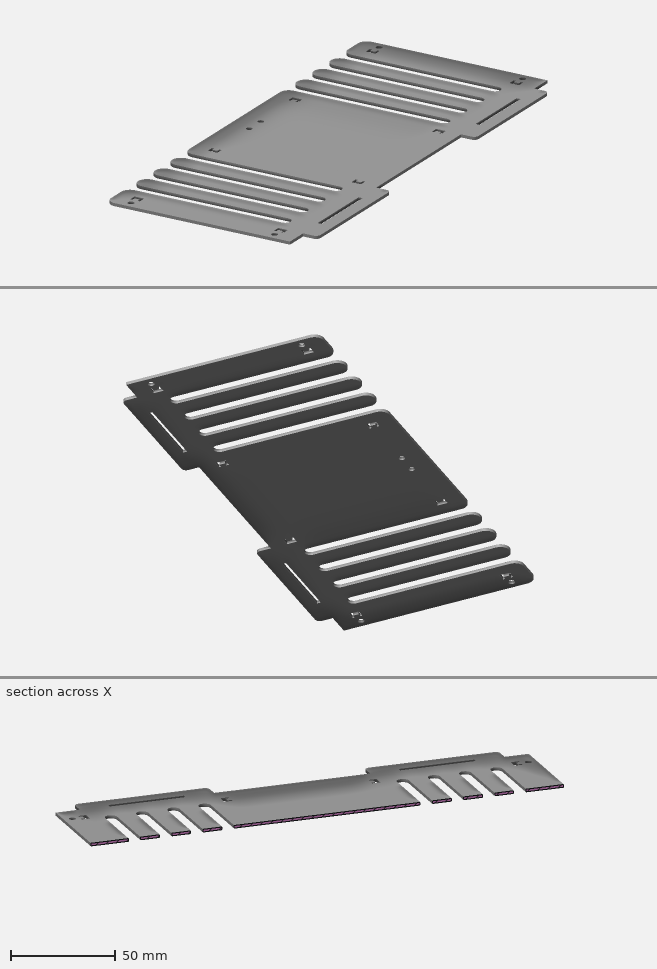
import cadquery as cq

length = 242.7
width = 111.0
thickness = 1.6
left_edge = -width / 2
right_edge = width / 2

sheet_width = 102.7
sheet_right = left_edge + sheet_width
tab_inner_y = 40.0
tab_outer_y = 109.0
tab_corner_radius = 2.5

panel_half_length = 47.8
slot_count = 4
slot_width = 6.0
finger_width = 10.0
slot_pitch = slot_width + finger_width
slot_depth = 89.8
left_corner_radius = 4.9

strap_slot_width = 2.2
strap_slot_length = 38.8
strap_slot_x = left_edge + 103.0
strap_slot_y = (tab_inner_y + tab_outer_y) / 2

column_spacing = 80.0
left_column = left_edge + 11.5
columns = (left_column, left_column + column_spacing)

corner_hole_diameter = 3.5
corner_hole_y = 117.0
panel_hole_diameter = 3.2
panel_hole_spacing = 11.0

clip_width = 5.3
clip_length = 4.1
tongue_width = 3.0
tongue_length = 2.0


def slab(x_min, x_max, y_min, y_max):
    """Plate-thick block between the given limits."""
    size = (x_max - x_min, y_max - y_min, thickness)
    return cq.Workplane("XY").box(*size, centered=False).translate((x_min, y_min, 0))


def drill(points, diameter):
    """Plate-thick pins used to cut round holes."""
    return cq.Workplane("XY").pushPoints(points).circle(diameter / 2).extrude(thickness)


def sheet_strip(y_min, y_max):
    """Strip across the sheet with both left corners rounded."""
    strip = slab(left_edge, sheet_right, y_min, y_max)
    return strip.edges("|Z and <X").fillet(left_corner_radius)


def slot_end_web(y_min):
    """Solid piece that closes a finger slot with a half-round inner end."""
    end_centre_x = left_edge + slot_depth - slot_width / 2
    web = slab(end_centre_x, sheet_right, y_min, y_min + slot_width)
    return web.cut(drill([(end_centre_x, y_min + slot_width / 2)], slot_width))


def comb():
    """Fingers, slot ends and outer strip on the +Y side of the panel."""
    first_finger_y = panel_half_length + slot_width
    last_finger_y = first_finger_y + (slot_count - 1) * slot_pitch
    body = sheet_strip(last_finger_y, length / 2)
    for index in range(slot_count):
        slot_y = panel_half_length + index * slot_pitch
        body = body.union(slot_end_web(slot_y))
    for index in range(slot_count - 1):
        finger_y = first_finger_y + index * slot_pitch
        body = body.union(sheet_strip(finger_y, finger_y + finger_width))
    return body


def tab():
    """Side tab with rounded outer corners, on the +Y side."""
    block = slab(sheet_right, right_edge, tab_inner_y, tab_outer_y)
    return block.edges("|Z and >X").fillet(tab_corner_radius)


def strap_slot():
    """Cutter for the strap slot in the +Y tab."""
    slot = cq.Workplane("XY").rect(strap_slot_width, strap_slot_length).extrude(thickness)
    return slot.translate((strap_slot_x, strap_slot_y, 0))


def clip_cut(x, closed_y, root_direction):
    """U-shaped cut whose closed side is at closed_y; the tongue root lies in root_direction along Y."""
    root_y = closed_y + root_direction * clip_length
    tip_y = root_y - root_direction * tongue_length
    outer = slab(x - clip_width / 2, x + clip_width / 2, min(closed_y, root_y), max(closed_y, root_y))
    tongue = slab(x - tongue_width / 2, x + tongue_width / 2, min(tip_y, root_y), max(tip_y, root_y))
    return outer.cut(tongue)


def mirrored(body):
    """The body together with its mirror image across the XZ plane."""
    return body.union(body.mirror("XZ"))


plate = sheet_strip(-panel_half_length, panel_half_length)
plate = plate.union(mirrored(comb().union(tab())))

cuts = strap_slot()
for column in columns:
    cuts = cuts.union(drill([(column, corner_hole_y)], corner_hole_diameter))
    cuts = cuts.union(clip_cut(column, tab_inner_y, -1))
    cuts = cuts.union(clip_cut(column, tab_outer_y, 1))
cuts = cuts.union(drill([(left_column, panel_hole_spacing / 2)], panel_hole_diameter))

result = plate.cut(mirrored(cuts))